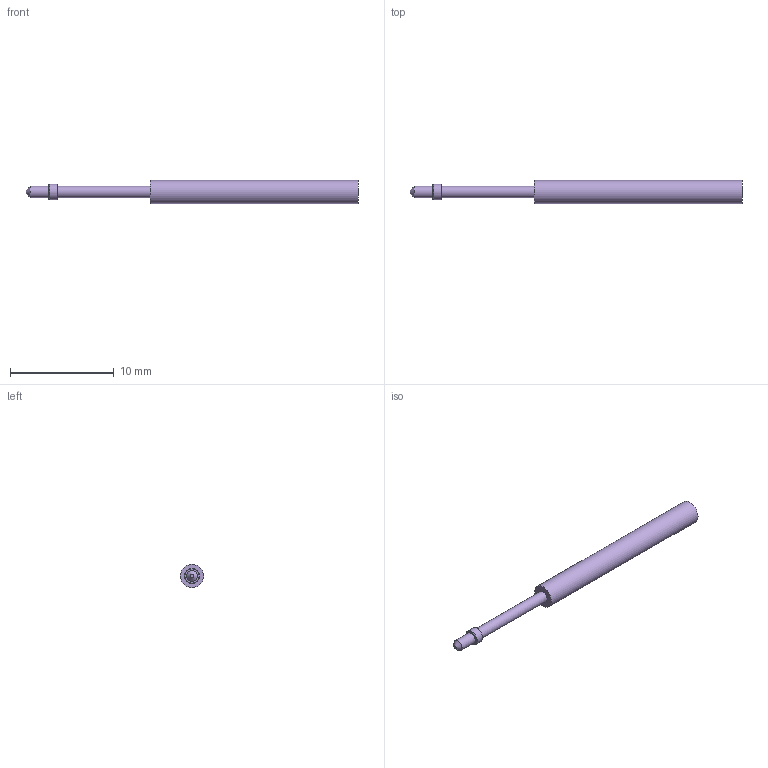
import cadquery as cq

total_length = 32.0
barrel_length = 20.0
barrel_start = total_length - barrel_length

barrel_radius = 2.25 / 2
stem_radius = 1.1 / 2

tip_flat_radius = 0.15
tip_length = stem_radius - tip_flat_radius

collar_radius = 1.5 / 2
collar_start = 2.2
collar_end = 3.0
collar_chamfer = 0.07


def rod(start, end, radius):
    """Cylinder along X between two X positions."""
    return cq.Workplane("YZ", origin=(start, 0, 0)).circle(radius).extrude(end - start)


def make_stem():
    """Plunger stem with its conical tip."""
    return rod(0, barrel_start, stem_radius).faces("<X").chamfer(tip_length)


def make_collar():
    """Raised ring around the stem."""
    return rod(collar_start, collar_end, collar_radius).faces("<X").chamfer(collar_chamfer)


def make_barrel():
    """Plain cylindrical body behind the stem."""
    return rod(barrel_start, total_length, barrel_radius)


result = make_barrel().union(make_stem()).union(make_collar())